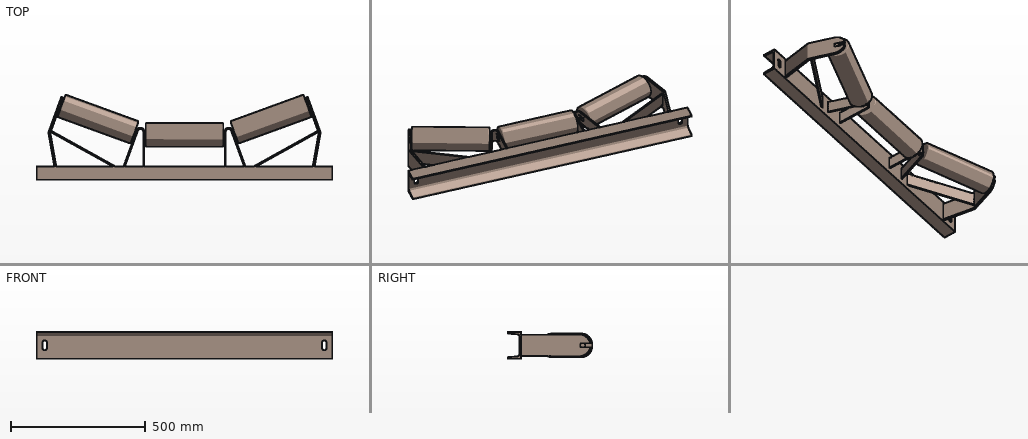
import cadquery as cq
import math


BEAM_LENGTH = 1100.0
BEAM_HEIGHT = 100.0
BEAM_DEPTH = 50.0
WEB_THICKNESS = 6.0
FLANGE_THICKNESS = 8.5
FLANGE_SLOPE = 0.08
ROOT_RADIUS = 8.5
TOE_RADIUS = 4.5
MOUNT_SLOT_WIDTH = 16.0
MOUNT_SLOT_HEIGHT = 36.0
MOUNT_SLOT_INSET = 30.0

ROLLER_RADIUS = 44.5
ROLLER_LENGTH = 290.0
ROLLER_EDGE_RADIUS = 5.0
SHAFT_RADIUS = 10.0
SHAFT_ACROSS_FLATS = 15.0
TROUGH_ANGLE = 20.0
OVERALL_DEPTH = 315.55
MIDDLE_AXIS_Y = 167.0
SIDE_ROLLER_X = 321.5

INNER_STRIP = 5.0
OUTER_STRIP = 8.0
BRACE_STRIP = 5.0
OUTER_WIDTH = 80.0
INNER_WIDTH = 50.0
END_GAP = 4.0
OUTER_LEG_ANGLE = 10.0
OUTER_BEND_Y = 175.0
OUTER_BEND_RADIUS = 15.0
OUTER_TIP = 32.0
ARCH_RADIUS = 12.5

BRACE_WIDTH = 56.0
BRACE_FOOT_X = 262.5
BRACE_ANGLE = 29.0
BRACE_REACH = 290.0

CUT_DEPTH = 100.0
SLOT_DEPTH = 50.0

tilt = math.radians(TROUGH_ANGLE)
leg_lean = math.radians(OUTER_LEG_ANGLE)
half_length = ROLLER_LENGTH / 2
face_reach = half_length + END_GAP
inner_plate_reach = face_reach + INNER_STRIP / 2
outer_plate_reach = face_reach + OUTER_STRIP / 2
inner_shaft_reach = face_reach + INNER_STRIP
outer_shaft_reach = face_reach + OUTER_STRIP

edge_along = half_length - ROLLER_EDGE_RADIUS
edge_across = ROLLER_RADIUS - ROLLER_EDGE_RADIUS
side_roller_y = (OVERALL_DEPTH - ROLLER_EDGE_RADIUS
                 - edge_along * math.sin(tilt) - edge_across * math.cos(tilt))


def side_point(along, across):
    """Point on the right-hand side: along its roller axis (outward), and across it (upward)."""
    x = SIDE_ROLLER_X + along * math.cos(tilt) - across * math.sin(tilt)
    y = side_roller_y + along * math.sin(tilt) + across * math.cos(tilt)
    return x, y


def tilted_out(body):
    """Carry a body built around a roller at the origin to the right-hand side roller."""
    turned = body.rotate((0, 0, 0), (0, 0, 1), TROUGH_ANGLE)
    return turned.translate((SIDE_ROLLER_X, side_roller_y, 0))


def tilted_back(body):
    """Undo tilted_out."""
    moved = body.translate((-SIDE_ROLLER_X, -side_roller_y, 0))
    return moved.rotate((0, 0, 0), (0, 0, 1), -TROUGH_ANGLE)


def bent_strip(width, thickness, start, corner, end, bend_radius):
    """Strip standing in Z that follows two straight legs joined by a round bend at their corner."""
    start, corner, end = [cq.Vector(*point) for point in (start, corner, end)]
    to_start = (start - corner).normalized()
    to_end = (end - corner).normalized()
    half_angle = to_start.getAngle(to_end) / 2
    setback = bend_radius / math.tan(half_angle)
    to_bend_middle = bend_radius / math.sin(half_angle) - bend_radius
    bend_start = corner + to_start * setback
    bend_middle = corner + (to_start + to_end).normalized() * to_bend_middle
    bend_end = corner + to_end * setback
    centre_line = (
        cq.Workplane("XY")
        .moveTo(start.x, start.y)
        .lineTo(bend_start.x, bend_start.y)
        .threePointArc((bend_middle.x, bend_middle.y), (bend_end.x, bend_end.y))
        .lineTo(end.x, end.y)
    )
    section_plane = cq.Plane(origin=start, xDir=(0, 0, 1), normal=to_start * -1)
    strip = cq.Workplane(section_plane).rect(width, thickness).sweep(centre_line)
    return strip.cut(beam_zone())


def beam_zone():
    """Everything below the back of the beam, where the strips are cut off."""
    return cq.Workplane("XY").box(
        BEAM_LENGTH, CUT_DEPTH, BEAM_HEIGHT, centered=(True, False, True)
    ).translate((0, BEAM_DEPTH - CUT_DEPTH, 0))


def shaft_end(near_x, far_x):
    """Length of shaft on the X axis with flats facing +Z and -Z."""
    length = far_x - near_x
    flats = cq.Workplane("XY").box(
        length, 2 * SHAFT_RADIUS, SHAFT_ACROSS_FLATS, centered=(False, True, True)
    ).translate((near_x, 0, 0))
    bar = cq.Workplane("YZ").workplane(offset=near_x).circle(SHAFT_RADIUS).extrude(length)
    return bar.intersect(flats)


def shaft_slot(near_x, far_x):
    """Slot that seats a shaft end on the X axis and runs up from it in +Y."""
    mouth = cq.Workplane("XY").box(
        far_x - near_x, SLOT_DEPTH, SHAFT_ACROSS_FLATS, centered=(False, False, True)
    ).translate((near_x, 0, 0))
    return shaft_end(near_x, far_x).union(mouth)


def make_beam():
    half_height = BEAM_HEIGHT / 2
    inner_at_web = FLANGE_THICKNESS + FLANGE_SLOPE * (BEAM_DEPTH / 2 - WEB_THICKNESS)
    inner_at_tip = FLANGE_THICKNESS - FLANGE_SLOPE * BEAM_DEPTH / 2
    web_face = BEAM_DEPTH - WEB_THICKNESS
    beam = (
        cq.Workplane("YZ")
        .workplane(offset=-BEAM_LENGTH / 2)
        .polyline([
            (BEAM_DEPTH, -half_height),
            (BEAM_DEPTH, half_height),
            (0, half_height),
            (0, half_height - inner_at_tip),
            (web_face, half_height - inner_at_web),
            (web_face, inner_at_web - half_height),
            (0, inner_at_tip - half_height),
            (0, -half_height),
        ])
        .close()
        .extrude(BEAM_LENGTH)
    )
    hollow = half_height - FLANGE_THICKNESS / 2
    inner_edges = cq.selectors.BoxSelector(
        (-BEAM_LENGTH, web_face - 1, -hollow), (BEAM_LENGTH, web_face + 1, hollow)
    )
    toe_edges = cq.selectors.BoxSelector((-BEAM_LENGTH, -1, -hollow), (BEAM_LENGTH, 1, hollow))
    beam = beam.edges("|X").edges(inner_edges).fillet(ROOT_RADIUS)
    beam = beam.edges("|X").edges(toe_edges).fillet(TOE_RADIUS)
    slot_x = BEAM_LENGTH / 2 - MOUNT_SLOT_INSET
    mount_slots = (
        cq.Workplane("XZ")
        .pushPoints([(-slot_x, 0), (slot_x, 0)])
        .slot2D(MOUNT_SLOT_HEIGHT, MOUNT_SLOT_WIDTH, 90)
        .extrude(-BEAM_DEPTH)
    )
    return beam.cut(mount_slots)


def make_roller(left_reach, right_reach):
    """Roller centred on the origin along X, with its shaft reaching out on both sides."""
    shell = (
        cq.Workplane("YZ")
        .workplane(offset=-half_length)
        .circle(ROLLER_RADIUS)
        .extrude(ROLLER_LENGTH)
        .edges()
        .fillet(ROLLER_EDGE_RADIUS)
    )
    return shell.union(shaft_end(-left_reach, right_reach))


def round_tipped(strip, tip):
    """Trim an outer strip that ends at height Y = tip to a half round as wide as the strip."""
    half_width = OUTER_WIDTH / 2
    span = 2 * BEAM_LENGTH
    round_end = (
        cq.Workplane("YZ")
        .workplane(offset=-span / 2)
        .center(tip - half_width, 0)
        .circle(half_width)
        .extrude(span)
    )
    below = cq.Workplane("XY").box(
        span, span, OUTER_WIDTH
    ).translate((0, tip - half_width - span / 2, 0))
    return strip.intersect(round_end.union(below))


def make_outer_bracket():
    """Strip leaning out from the beam, bent inward to hold the outer end of the side roller."""
    bend_across = (OUTER_BEND_Y - side_point(outer_plate_reach, 0)[1]) / math.cos(tilt)
    corner = side_point(outer_plate_reach, bend_across)
    foot_y = BEAM_DEPTH - CUT_DEPTH / 2
    foot = (corner[0] - (corner[1] - foot_y) * math.tan(leg_lean), foot_y)
    tip = side_point(outer_plate_reach, OUTER_TIP)
    strip = bent_strip(OUTER_WIDTH, OUTER_STRIP, foot, corner, tip, OUTER_BEND_RADIUS)
    upright = tilted_back(strip)
    upright = round_tipped(upright, OUTER_TIP)
    upright = upright.cut(shaft_slot(face_reach, outer_shaft_reach))
    return tilted_out(upright)


def make_inner_bracket():
    """Arched strip between two rollers: a vertical leg and a leg square to the side roller."""
    foot_y = BEAM_DEPTH - CUT_DEPTH / 2
    vertical_x = inner_plate_reach
    sloped_x, sloped_y = side_point(-inner_plate_reach, 0)
    meeting_y = sloped_y + (sloped_x - vertical_x) / math.tan(tilt)
    sloped_foot_x = vertical_x + (meeting_y - foot_y) * math.tan(tilt)
    strip = bent_strip(
        INNER_WIDTH,
        INNER_STRIP,
        (vertical_x, foot_y),
        (vertical_x, meeting_y),
        (sloped_foot_x, foot_y),
        ARCH_RADIUS,
    )
    middle_slot = shaft_slot(face_reach, inner_shaft_reach).translate((0, MIDDLE_AXIS_Y, 0))
    side_slot = tilted_out(shaft_slot(-inner_shaft_reach, -face_reach))
    return strip.cut(middle_slot).cut(side_slot)


def make_brace(bracket):
    """Flat strip from the beam up to the bend of the outer bracket, trimmed to fit both."""
    blank = (
        cq.Workplane("XY")
        .box(2 * BRACE_REACH, BRACE_STRIP, BRACE_WIDTH)
        .rotate((0, 0, 0), (0, 0, 1), BRACE_ANGLE)
        .translate((BRACE_FOOT_X, BEAM_DEPTH, 0))
    )
    pieces = blank.cut(beam_zone()).cut(bracket)
    return pieces.solids(cq.selectors.NearestToPointSelector((BRACE_FOOT_X, BEAM_DEPTH, 0)))


beam = make_beam()
middle_roller = make_roller(inner_shaft_reach, inner_shaft_reach).translate((0, MIDDLE_AXIS_Y, 0))
side_roller = tilted_out(make_roller(inner_shaft_reach, outer_shaft_reach))
outer_bracket = make_outer_bracket()
inner_bracket = make_inner_bracket()
brace = make_brace(outer_bracket)

right_hand_bodies = [side_roller, outer_bracket, inner_bracket, brace]
bodies = [beam, middle_roller]
for body in right_hand_bodies:
    bodies += [body, body.mirror("YZ")]

result = cq.Compound.makeCompound([body.val() for body in bodies])